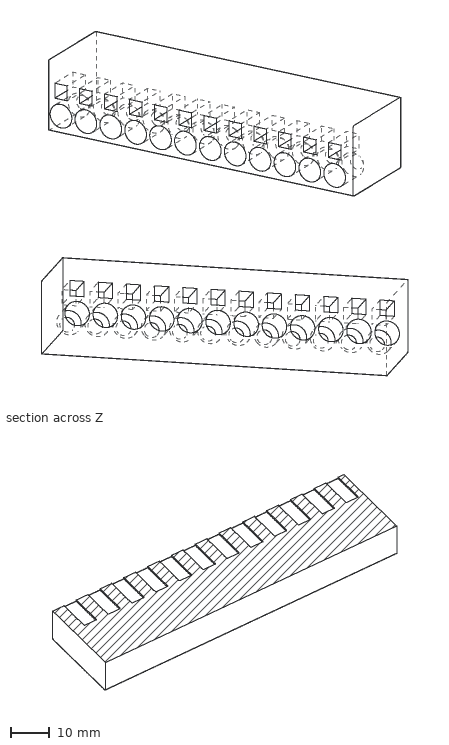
import cadquery as cq

length = 91.8
depth = 24.1
height = 19.6
edge_radius = 0.5

pole_count = 12
end_plate = 1.8
pole_pitch = (length - end_plate) / pole_count
first_pole_x = 3.8

entry_diameter = 6.5
entry_floor_diameter = 3.95
entry_bore_depth = 9.2
entry_taper_depth = 2.0
entry_z = 4.8

pocket_width = 3.8
pocket_height = 4.1
pocket_depth = entry_bore_depth
pocket_z = 11.5


def make_body():
    """Block with its four long edges rounded."""
    block = cq.Workplane("XY").box(length, depth, height, centered=False)
    return block.edges("|X").fillet(edge_radius)


def make_wire_entry(x):
    """Straight bore from the front face with a tapered end, as one revolved shape."""
    half_section = (
        cq.Workplane("XY", origin=(x, 0, entry_z))
        .lineTo(entry_diameter / 2, 0)
        .lineTo(entry_diameter / 2, entry_bore_depth)
        .lineTo(entry_floor_diameter / 2, entry_bore_depth + entry_taper_depth)
        .lineTo(0, entry_bore_depth + entry_taper_depth)
        .close()
    )
    return half_section.revolve(360, (0, 0, 0), (0, 1, 0))


def make_release_pocket(x):
    """Straight rectangular pocket from the front face."""
    pocket = cq.Workplane("XY").box(pocket_width, pocket_depth, pocket_height)
    return pocket.translate((x, pocket_depth / 2, pocket_z))


result = make_body()
for pole in range(pole_count):
    pole_x = first_pole_x + pole * pole_pitch
    result = result.cut(make_wire_entry(pole_x))
    result = result.cut(make_release_pocket(pole_x))